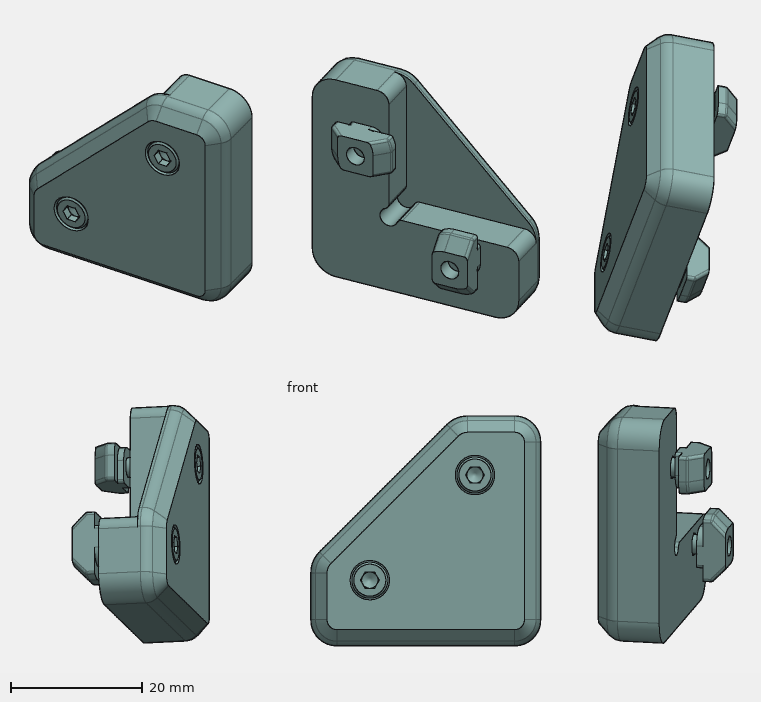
import cadquery as cq
import math


SIDE = 35.0
DEPTH = 10.0
PLATE_DEPTH = 4.0
LEG_WIDTH = 13.0
CORNER_RADIUS = 4.0
SLANT_RADIUS = 4.5
BEVEL = 2.5
BEVEL_ROUND = 2.5
LEG_END_RADIUS = 2.0
RELIEF_RADIUS = 1.5
RELIEF_ROUND = 1.0

SCREW_OFFSET = 10.0
SCREW_REACH = 26.0
SHANK_DIAMETER = 3.0
CLEARANCE_DIAMETER = 3.4
HEAD_DIAMETER = 5.5
COUNTERBORE_DIAMETER = 6.0
HEAD_HEIGHT = 3.0
HEAD_CHAMFER = 0.3
HEX_FLATS = 2.5
HEX_DEPTH = 1.3
HEX_TIP_ANGLE = 120.0
SHANK_LENGTH = 10.0

NUT_GAP = 1.0
NUT_WIDTH = 6.0
NUT_LENGTH = 10.22
NUT_HEIGHT = 4.48
COLLAR_HEIGHT = 0.98
COLLAR_TURN_RADIUS = 2.5
WING_SLOPE = (NUT_LENGTH - NUT_WIDTH) / 2
WING_TURN_RADIUS = 3.7
WING_TURN_START = 0.9
EDGE_ROUND = 0.5

SQUARE_CORNERS = [(0, 0), (SIDE, 0), (SIDE, SIDE)]
LEG_ENDS = [(SIDE - LEG_WIDTH, SIDE), (0, LEG_WIDTH)]
HEX_CORNERS = HEX_FLATS / math.cos(math.radians(30))
NUT_FRONT = DEPTH + NUT_GAP
SCREW_SPOTS = [
    (SIDE - SCREW_OFFSET, SCREW_REACH, 0),
    (SIDE - SCREW_REACH, SCREW_OFFSET, 90),
]
TOL = 0.05


def disc(diameter, start, length):
    """Cylinder along +Y that begins at y = start."""
    return cq.Workplane("XZ", origin=(0, start, 0)).circle(diameter / 2).extrude(-length)


def edge_at(x, z):
    """Selector for the edge parallel to Y that passes through (x, z)."""
    return cq.selectors.BoxSelector((x - TOL, 0, z - TOL), (x + TOL, DEPTH, z + TOL))


def front_plate():
    """Full outline with rounded corners, bevelled and rounded at the front."""
    plate = cq.Workplane("XZ").polyline(SQUARE_CORNERS + LEG_ENDS).close().extrude(-PLATE_DEPTH)
    for x, z in SQUARE_CORNERS:
        plate = plate.edges(edge_at(x, z)).fillet(CORNER_RADIUS)
    for x, z in LEG_ENDS:
        plate = plate.edges(edge_at(x, z)).fillet(SLANT_RADIUS)
    plate = plate.faces("<Y").chamfer(BEVEL)
    bevel_rim = cq.selectors.BoxSelector(
        (-TOL, BEVEL - TOL, -TOL), (SIDE + TOL, BEVEL + TOL, SIDE + TOL)
    )
    return plate.edges(bevel_rim).fillet(BEVEL_ROUND)


def legs():
    """L-shaped rear part with rounded ends and a relieved inner corner."""
    inner_x = SIDE - LEG_WIDTH
    inner_z = LEG_WIDTH
    upper_end, lower_end = LEG_ENDS
    outline = [*SQUARE_CORNERS, upper_end, (inner_x, inner_z), lower_end]
    back_of_plate = cq.Workplane("XZ", origin=(0, PLATE_DEPTH, 0))
    body = back_of_plate.polyline(outline).close().extrude(PLATE_DEPTH - DEPTH)
    for x, z in SQUARE_CORNERS:
        body = body.edges(edge_at(x, z)).fillet(CORNER_RADIUS)
    for x, z in LEG_ENDS:
        body = body.edges(edge_at(x, z)).fillet(LEG_END_RADIUS)
    relief = disc(2 * RELIEF_RADIUS, PLATE_DEPTH, DEPTH - PLATE_DEPTH)
    body = body.cut(relief.translate((inner_x, 0, inner_z)))
    for x, z in [(inner_x, inner_z + RELIEF_RADIUS), (inner_x - RELIEF_RADIUS, inner_z)]:
        body = body.edges(edge_at(x, z)).fillet(RELIEF_ROUND)
    return body


def make_housing():
    housing = front_plate().union(legs())
    for x, z, _ in SCREW_SPOTS:
        housing = housing.cut(disc(CLEARANCE_DIAMETER, 0, DEPTH).translate((x, 0, z)))
        housing = housing.cut(disc(COUNTERBORE_DIAMETER, 0, HEAD_HEIGHT).translate((x, 0, z)))
    return housing


def make_screw():
    """Cap screw on the Y axis with a hexagon socket that ends in a cone."""
    head = disc(HEAD_DIAMETER, 0, HEAD_HEIGHT).faces("<Y").chamfer(HEAD_CHAMFER)
    shank = disc(SHANK_DIAMETER, HEAD_HEIGHT, SHANK_LENGTH)
    socket = cq.Workplane("XZ").polygon(6, HEX_CORNERS).extrude(-HEX_DEPTH)
    tip_length = HEX_FLATS / 2 / math.tan(math.radians(HEX_TIP_ANGLE / 2))
    tip = cq.Workplane("XY").add(
        cq.Solid.makeCone(HEX_FLATS / 2, 0, tip_length, (0, HEX_DEPTH, 0), (0, 1, 0))
    )
    return head.union(shank).cut(socket).cut(tip)


def sheared_prism(outline, height, lean):
    """Prism on an XZ outline whose walls lean along X by `lean` over its height."""
    direction = cq.Vector(lean, height, 0)
    return cq.Workplane("XY").add(cq.Solid.extrudeLinear(outline.val(), [], direction))


def nut_wings():
    """Long rear part of the nut: sloped ends, two opposite corners curved for turning."""
    half_length = NUT_LENGTH / 2
    half_width = NUT_WIDTH / 2
    shoulder = NUT_HEIGHT - WING_SLOPE
    turn_rise = half_width - WING_TURN_START
    turn_run = WING_TURN_RADIUS - math.sqrt(WING_TURN_RADIUS ** 2 - turn_rise ** 2)

    def outline(y):
        return (
            cq.Workplane("XZ", origin=(0, y, 0))
            .moveTo(half_length, half_width)
            .lineTo(turn_run - half_length, half_width)
            .radiusArc((-half_length, WING_TURN_START), -WING_TURN_RADIUS)
            .lineTo(-half_length, -half_width)
            .lineTo(half_length - turn_run, -half_width)
            .radiusArc((half_length, -WING_TURN_START), -WING_TURN_RADIUS)
            .close()
        )

    base = outline(COLLAR_HEIGHT).extrude(COLLAR_HEIGHT - shoulder)
    sloped = sheared_prism(outline(shoulder), WING_SLOPE, WING_SLOPE)
    sloped = sloped.intersect(sheared_prism(outline(shoulder), WING_SLOPE, -WING_SLOPE))
    wings = base.union(sloped)
    shoulders = cq.selectors.BoxSelector(
        (-NUT_LENGTH, shoulder - TOL, -NUT_WIDTH), (NUT_LENGTH, shoulder + TOL, NUT_WIDTH)
    )
    wings = wings.edges(shoulders).fillet(EDGE_ROUND)
    side_rims = cq.selectors.BoxSelector(
        (-NUT_LENGTH, COLLAR_HEIGHT + TOL, -NUT_WIDTH), (NUT_LENGTH, NUT_HEIGHT - TOL, NUT_WIDTH)
    )
    return wings.faces("<Z or >Z").edges(side_rims).fillet(EDGE_ROUND)


def nut_collar():
    """Square collar with two opposite corners rounded for turning."""
    half = NUT_WIDTH / 2
    collar = cq.Workplane("XZ").rect(NUT_WIDTH, NUT_WIDTH).extrude(-COLLAR_HEIGHT)
    for side in (-1, 1):
        collar = collar.edges(edge_at(side * half, -side * half)).fillet(COLLAR_TURN_RADIUS)
        collar = collar.edges(edge_at(side * half, side * half)).fillet(EDGE_ROUND)
    return collar


def make_nut():
    """Slot nut on the Y axis, long side along X, front at y = 0."""
    return nut_wings().union(nut_collar()).cut(disc(SHANK_DIAMETER, 0, NUT_HEIGHT))


housing = make_housing()
screws = []
nuts = []
for x, z, turn in SCREW_SPOTS:
    screws.append(make_screw().translate((x, 0, z)))
    nuts.append(make_nut().rotate((0, 0, 0), (0, 1, 0), turn).translate((x, NUT_FRONT, z)))

result = cq.Compound.makeCompound(
    [housing.val(), *[screw.val() for screw in screws], *[nut.val() for nut in nuts]]
)